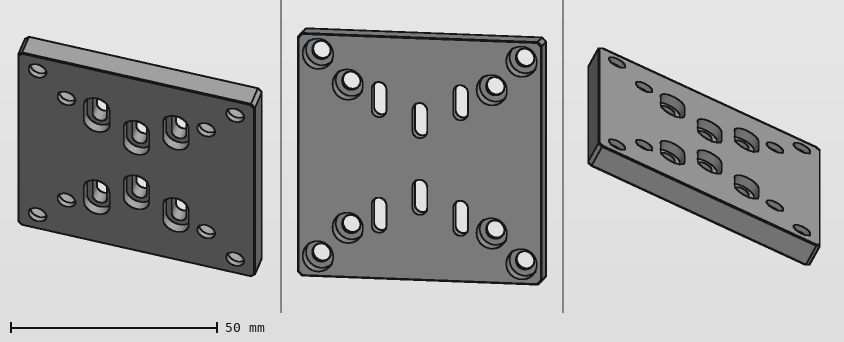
import cadquery as cq

side = 60.0
thickness = 6.0
corner_chamfer = 1.0
edge_chamfer = 0.25
front = -thickness / 2
back = thickness / 2

hole_diameter = 4.5
counterbore_diameter = 7.5
counterbore_depth = 4.5
outer_hole_offset = 25.0
inner_hole_offset = 17.7

slot_width = 3.6
slot_straight = 5.05
recess_width = 6.5
recess_depth = 2.5
slot_spacing = 10.0
side_slot_height = 14.3
middle_slot_height = 9.5

quadrants = [(sign_x, sign_z) for sign_x in (-1, 1) for sign_z in (-1, 1)]
hole_centers = [
    (sign_x * offset, sign_z * offset)
    for offset in (outer_hole_offset, inner_hole_offset)
    for sign_x, sign_z in quadrants
]
side_slot_centers = [(sign_x * slot_spacing, sign_z * side_slot_height) for sign_x, sign_z in quadrants]
middle_slot_centers = [(0, -middle_slot_height), (0, middle_slot_height)]
slot_centers = side_slot_centers + middle_slot_centers


def upright_plane(y):
    """Sketch plane at the given Y, with x along X, y along Z and its normal along -Y."""
    return cq.Workplane("XZ", origin=(0, y, 0))


def round_cutters(diameter, y_front, y_back):
    """Cylinders at every hole center, between two Y positions."""
    circles = upright_plane(y_back).pushPoints(hole_centers).circle(diameter / 2)
    return circles.extrude(y_back - y_front)


def slot_cutters(width, y_front, y_back):
    """Round-ended vertical slots at every slot center, between two Y positions."""
    slots = upright_plane(y_back).pushPoints(slot_centers).slot2D(slot_straight + width, width, 90)
    return slots.extrude(y_back - y_front)


plate = cq.Workplane("XY").box(side, thickness, side)
plate = plate.edges("|Y").chamfer(corner_chamfer)
plate = plate.faces("<Y or >Y").edges().chamfer(edge_chamfer)

plate = plate.cut(round_cutters(hole_diameter, front, back))
plate = plate.cut(round_cutters(counterbore_diameter, back - counterbore_depth, back))

plate = plate.cut(slot_cutters(slot_width, front, back))
plate = plate.cut(slot_cutters(recess_width, front, front + recess_depth))

result = plate